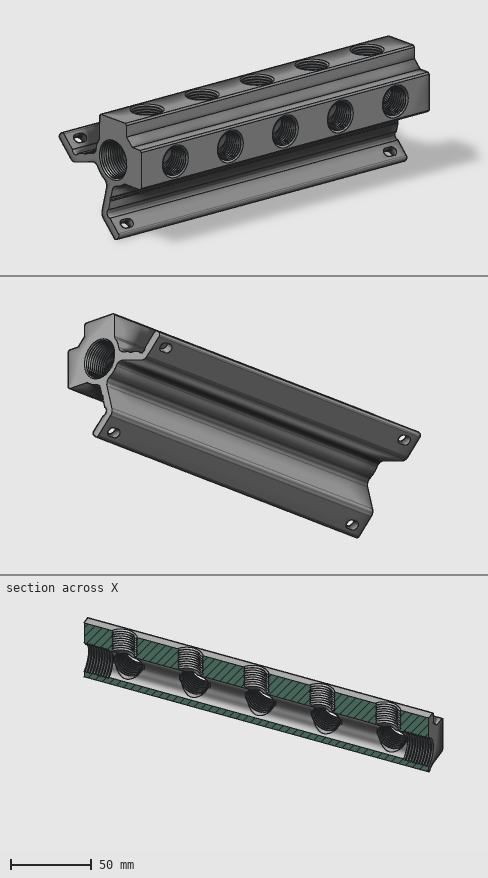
import cadquery as cq
import math

length = 235.0
overall = 78.5
head_reach = 27.0
head_half = 13.0
head_break = 1.2
filler_leg = 5.5
shell_radius = 16.7
head_fillet = 2.4

wing_angle = 15.0
web_top = 4.5
web_thickness = 5.5
lip_angle = 135.0
lip_outer = 35.2
lip_thickness = 5.6
lip_tip_radius = 1.9
wing_fillet = 5.0
relief_radius = 2.8
relief_distance = 2.4
groove_center = 26.3
groove_width = 2.8
groove_floor = 1.5
groove_depth = 0.5

slot_length = 9.6
slot_width = 6.0
slot_end_distance = 10.0
slot_offset = 31.5

outlet_count = 5
outlet_pitch = 45.0
outlet_minor = 18.5
outlet_major = 21.2
bore_minor = 24.0
bore_major = 25.8
thread_pitch = 1.8
bore_thread_turns = 9

diagonal = math.sqrt(0.5)
web_slope = math.tan(math.radians(wing_angle))
web_cos = math.cos(math.radians(wing_angle))
web_sin = math.sin(math.radians(wing_angle))
lip_inner = lip_outer - lip_thickness
web_bottom = web_top - web_thickness

lip_end = (overall - head_reach - lip_tip_radius) / diagonal - lip_outer + 2 * lip_tip_radius


def lip_point(along, outward):
    """Section point of the upper lip, along it and square to it from the bore axis."""
    return (-(along + outward) * diagonal, (along - outward) * diagonal)


def web_point(x, offset):
    """Section point on the web line at the given distance from the bore axis."""
    return (x, x * web_slope + offset / web_cos)


def bend_point(lip_offset, web_offset):
    """Section point where a lip face meets a web face."""
    x = -(lip_offset / diagonal + web_offset / web_cos) / (1 + web_slope)
    return web_point(x, web_offset)


def root_point(web_offset):
    """Section point where a web face meets the round wall."""
    reach = math.sqrt(shell_radius**2 - web_offset**2)
    return (-reach * web_cos - web_offset * web_sin, -reach * web_sin + web_offset * web_cos)


def unchanged(point):
    return point


def swapped(point):
    """Mirror a section point across the symmetry plane x = z."""
    return (point[1], point[0])


def prism(points):
    """Solid of the full length with the given section outline."""
    return cq.Workplane("XZ").polyline(points).close().extrude(length / 2, both=True)


def rod(centre, radius):
    """Round bar of the full length around the given section point."""
    return cq.Workplane("XZ").center(*centre).circle(radius).extrude(length / 2, both=True)


def fillet_at(body, point, radius):
    """Round the lengthwise edge through a section point."""
    selector = cq.selectors.NearestToPointSelector((point[0], 0, point[1]))
    return body.edges("|Y").edges(selector).fillet(radius)


def make_heads():
    upper_half = [
        (0, 0),
        (-head_half, 0),
        (-head_half, head_reach - head_break),
        (-head_half + head_break, head_reach),
        (head_half - head_break, head_reach),
        (head_half, head_reach - head_break),
        (head_half, head_half + filler_leg),
    ]
    lower_half = [swapped(point) for point in reversed(upper_half[1:])]
    return prism(upper_half + lower_half)


def make_wing(place):
    outer_bend = bend_point(lip_outer, web_bottom)
    inner_bend = bend_point(lip_inner, web_top)
    tip_corners = [lip_point(lip_end, lip_outer), lip_point(lip_end, lip_inner)]
    outline = [
        web_point(0, web_bottom),
        outer_bend,
        *tip_corners,
        inner_bend,
        web_point(0, web_top),
    ]
    wing = prism([place(point) for point in outline])
    for corner in tip_corners:
        wing = fillet_at(wing, place(corner), lip_tip_radius)
    wing = fillet_at(wing, place(outer_bend), wing_fillet)

    bisector = math.radians((wing_angle + lip_angle) / 2)
    relief_axis = (
        inner_bend[0] + relief_distance * math.cos(bisector),
        inner_bend[1] + relief_distance * math.sin(bisector),
    )
    wing = wing.cut(rod(place(relief_axis), relief_radius))

    groove = [
        web_point(-groove_center - groove_width / 2, web_top),
        web_point(-groove_center - groove_floor / 2, web_top - groove_depth),
        web_point(-groove_center + groove_floor / 2, web_top - groove_depth),
        web_point(-groove_center + groove_width / 2, web_top),
    ]
    return wing.cut(prism([place(point) for point in groove]))


def make_slots(x_sign):
    """Pair of slots through one lip, square to its faces; x_sign -1 is the upper lip, 1 the lower."""
    plane = cq.Plane(
        origin=(x_sign * slot_offset * diagonal, 0, -x_sign * slot_offset * diagonal),
        xDir=(0, 1, 0),
        normal=(-1, 0, -1),
    )
    centre = length / 2 - slot_end_distance
    overcut = lip_thickness / 2
    return (
        cq.Workplane(plane)
        .workplane(offset=lip_inner - overcut)
        .pushPoints([(-centre, 0), (centre, 0)])
        .slot2D(slot_length, slot_width)
        .extrude(lip_thickness + 2 * overcut)
    )


def make_threaded_hole(minor, major, turns, depth):
    """Cutter along +Z from z = 0 with ring grooves for the thread; wide at z = 0."""
    profile = [(0, 0)]
    for turn in range(turns + 1):
        root = turn * thread_pitch
        profile.append((major / 2, root))
        profile.append((minor / 2, root + thread_pitch / 2))
    profile += [(minor / 2, depth), (0, depth)]
    return cq.Workplane("XZ").polyline(profile).close().revolve(360, (0, 0), (0, 1))


sides = (unchanged, swapped)
result = make_heads().union(rod((0, 0), shell_radius))
for place in sides:
    result = result.union(make_wing(place))
for place in sides:
    for offset in (web_top, web_bottom):
        result = fillet_at(result, place(root_point(offset)), wing_fillet)
    head_root = (-head_half, math.sqrt(shell_radius**2 - head_half**2))
    result = fillet_at(result, place(head_root), head_fillet)

for x_sign in (-1, 1):
    result = result.cut(make_slots(x_sign))

end_cutter = make_threaded_hole(bore_minor, bore_major, bore_thread_turns, length / 2)
for angle in (-90, 90):
    end = math.copysign(length / 2, angle)
    result = result.cut(end_cutter.rotate((0, 0, 0), (1, 0, 0), angle).translate((0, end, 0)))

outlet_turns = int((head_reach - bore_minor / 2) / thread_pitch)
outlet_cutter = make_threaded_hole(outlet_minor, outlet_major, outlet_turns, head_reach)
top_cutter = outlet_cutter.rotate((0, 0, 0), (1, 0, 0), 180).translate((0, 0, head_reach))
side_cutter = outlet_cutter.rotate((0, 0, 0), (0, 1, 0), -90).translate((head_reach, 0, 0))
for index in range(outlet_count):
    y = (index - (outlet_count - 1) / 2) * outlet_pitch
    result = result.cut(top_cutter.translate((0, y, 0))).cut(side_cutter.translate((0, y, 0)))